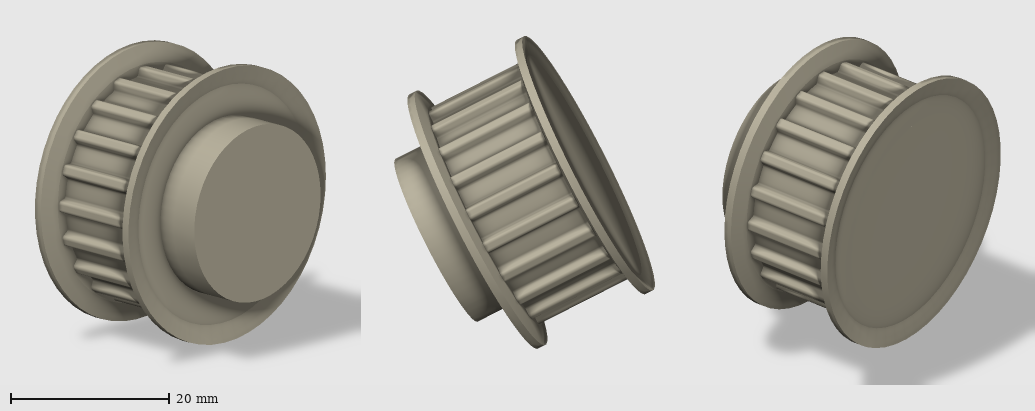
import cadquery as cq
import math


flange_radius = 18.0
flange_flat_radius = 15.55
flange_seat_radius = 12.5
flange_thickness = 1.05
flange_dish = 0.6

width_over_flanges = 16.38
overall_length = 21.67
hub_radius = 11.52
tooth_count = 20
tip_radius = 15.3
root_radius = 14.15
tip_gap_half_width = 1.8
flank_angle = 25.0
tip_fillet = 0.45
root_fillet = 0.32
cutter_clearance = 1.08
radius_tolerance = 0.005

tooth_start = flange_dish + flange_thickness
tooth_end = width_over_flanges - tooth_start
tooth_length = tooth_end - tooth_start
spigot_end = width_over_flanges - flange_dish
tooth_pitch_angle = 360.0 / tooth_count


def cylinder_along_x(radius, start, end):
    return cq.Workplane("YZ", origin=(start, 0, 0)).circle(radius).extrude(end - start)


def make_tooth_gap():
    """Cutter for the gap centred on +Y: straight flanks down to the round root."""
    flank_slope = math.tan(math.radians(flank_angle))
    outer_reach = tip_radius + cutter_clearance
    inner_reach = root_radius - cutter_clearance
    outer_half_width = tip_gap_half_width + (outer_reach - tip_radius) * flank_slope
    inner_half_width = tip_gap_half_width - (tip_radius - inner_reach) * flank_slope
    wedge = (
        cq.Workplane("YZ", origin=(tooth_start, 0, 0))
        .moveTo(inner_reach, -inner_half_width)
        .lineTo(outer_reach, -outer_half_width)
        .lineTo(outer_reach, outer_half_width)
        .lineTo(inner_reach, inner_half_width)
        .close()
        .extrude(tooth_length)
    )
    return wedge.cut(cylinder_along_x(root_radius, tooth_start, tooth_end))


def make_toothed_rim():
    rim = cylinder_along_x(tip_radius, tooth_start, tooth_end)
    gap = make_tooth_gap()
    for index in range(tooth_count):
        gap_angle = (index + 0.5) * tooth_pitch_angle
        rim = rim.cut(gap.rotate((0, 0, 0), (1, 0, 0), gap_angle))
    return rim


def radius_of(edge):
    """Distance of an edge's middle from the pulley axis."""
    centre = edge.Center()
    return math.hypot(centre.y, centre.z)


def round_teeth(rim):
    """Round the tip and root edges that run along every tooth."""
    middle_radius = (tip_radius + root_radius) / 2
    tip_edges = [e for e in rim.edges("|X").vals() if radius_of(e) > middle_radius]
    rounded = rim.newObject(tip_edges).fillet(tip_fillet)
    root_edges = [e for e in rounded.edges("|X").vals() if radius_of(e) < root_radius + radius_tolerance]
    return rounded.newObject(root_edges).fillet(root_fillet)


def make_body():
    """Toothed rim with a spigot for each flange and the hub beyond the second flange."""
    rim = round_teeth(make_toothed_rim())
    spigots = cylinder_along_x(flange_seat_radius, flange_dish, spigot_end)
    hub = cylinder_along_x(hub_radius, spigot_end, overall_length)
    return rim.union(spigots).union(hub)


def make_flange():
    """Dished ring: its rim starts at X = 0 and its flat part is set in towards the teeth."""
    return (
        cq.Workplane("XY")
        .moveTo(flange_dish, flange_seat_radius)
        .lineTo(flange_dish, flange_flat_radius)
        .lineTo(0, flange_radius)
        .lineTo(flange_thickness, flange_radius)
        .lineTo(tooth_start, flange_flat_radius)
        .lineTo(tooth_start, flange_seat_radius)
        .close()
        .revolve(360, (0, 0, 0), (1, 0, 0))
    )


body = make_body()
first_flange = make_flange()
second_flange = first_flange.mirror("YZ", (width_over_flanges / 2, 0, 0))

result = cq.Compound.makeCompound([body.val(), first_flange.val(), second_flange.val()])